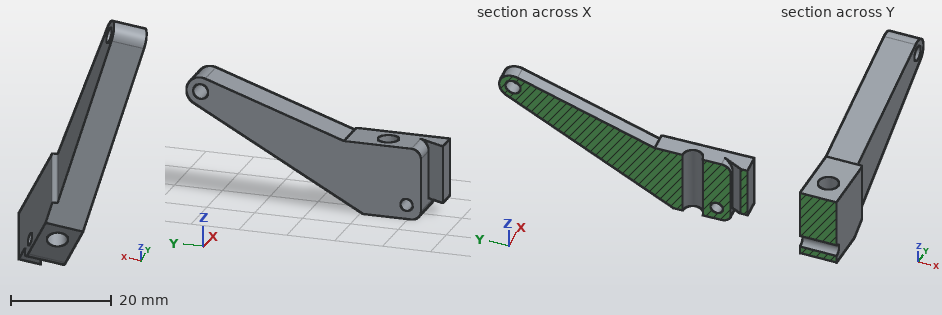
import cadquery as cq
import math

length = 52.5
width = 7.9
total_height = 25.0

block_height = 15.0
block_front = 3.5
block_back = 19.6
bottom_back = 15.6
corner_radius = 2.0

pivot_radius = 3.0
pivot_hole_diameter = 3.1
pivot_y = length - pivot_radius
pivot_z = total_height - pivot_radius

arm_width = 6.9
step_radius = 0.3

dovetail_height = 12.0
dovetail_tip_x = 3.2
dovetail_root_x = 5.95
dovetail_root_y = block_front + corner_radius

screw_hole_diameter = 4.2
screw_hole_y = 11.6
pin_hole_diameter = 2.5
pin_offset = 3.0


def pivot_tangent(y, z, side):
    """Point where a line from (y, z) touches the arm end; side is +1 above, -1 below."""
    toward_point = math.atan2(z - pivot_z, y - pivot_y)
    distance = math.hypot(y - pivot_y, z - pivot_z)
    angle = toward_point - side * math.acos(pivot_radius / distance)
    return (
        pivot_y + pivot_radius * math.cos(angle),
        pivot_z + pivot_radius * math.sin(angle),
    )


def lever():
    """Side outline extruded across the full width, with rounded front corners."""
    profile = (
        cq.Workplane("YZ")
        .moveTo(block_front, 0)
        .lineTo(bottom_back, 0)
        .lineTo(*pivot_tangent(bottom_back, 0, -1))
        .threePointArc((length, pivot_z), pivot_tangent(block_back, block_height, 1))
        .lineTo(block_back, block_height)
        .lineTo(block_front, block_height)
        .close()
    )
    return profile.extrude(width).edges("|X and <Y").fillet(corner_radius)


def arm_relief():
    """Material removed beside the arm, leaving a step with rounded corners."""
    clearance = 0.5
    relief = (
        cq.Workplane("XY")
        .moveTo(width + clearance, block_back - clearance)
        .lineTo(width, block_back - clearance)
        .lineTo(width, block_back - step_radius)
        .radiusArc((width - step_radius, block_back), -step_radius)
        .lineTo(arm_width + step_radius, block_back)
        .radiusArc((arm_width, block_back + step_radius), step_radius)
        .lineTo(arm_width, length + clearance)
        .lineTo(width + clearance, length + clearance)
        .close()
    )
    return relief.extrude(total_height)


def dovetail():
    """Undercut rail, flush with the block top and its +X side."""
    corners = [
        (dovetail_tip_x, 0),
        (width, 0),
        (width, dovetail_root_y),
        (dovetail_root_x, dovetail_root_y),
    ]
    base = cq.Workplane("XY", origin=(0, 0, block_height - dovetail_height))
    return base.polyline(corners).close().extrude(dovetail_height)


def cross_hole(y, z, diameter):
    """Hole along X through the full width."""
    return cq.Workplane("YZ").center(y, z).circle(diameter / 2).extrude(width)


pivot_hole = cross_hole(pivot_y, pivot_z, pivot_hole_diameter)
pin_hole = cross_hole(block_front + pin_offset, pin_offset, pin_hole_diameter)
screw_hole = (
    cq.Workplane("XY")
    .center(width / 2, screw_hole_y)
    .circle(screw_hole_diameter / 2)
    .extrude(block_height)
)

result = lever().cut(arm_relief()).union(dovetail())
result = result.cut(pivot_hole).cut(pin_hole).cut(screw_hole)